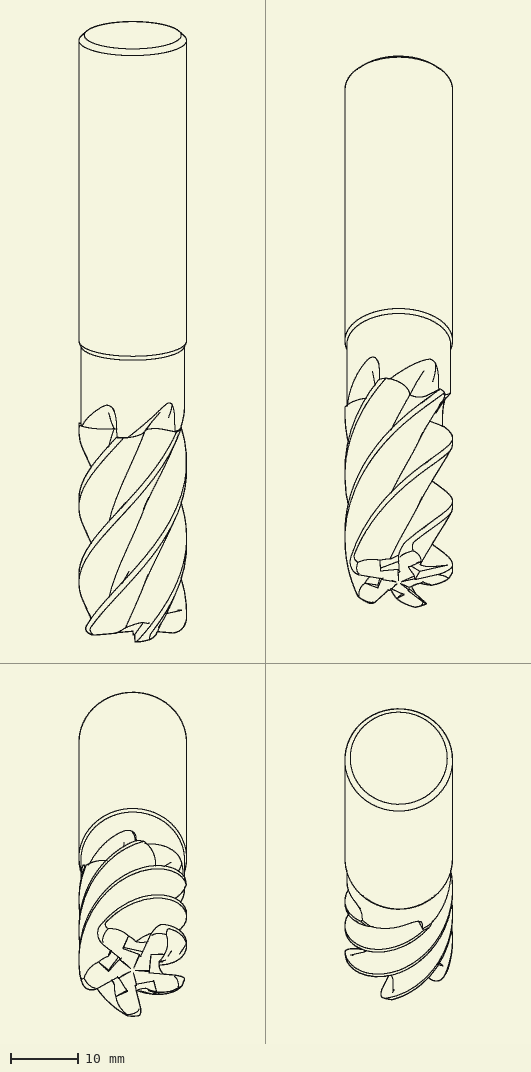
import cadquery as cq
import math


total_length = 92.0
cutter_radius = 8.0
cutter_length = 32.0
corner_radius = 2.0
shank_radius = cutter_radius
shank_bottom = 44.7
neck_radius = 7.7
neck_top = 44.0
top_chamfer = 0.8

tooth_count = 5
tooth_pitch = 360 / tooth_count
tooth_turns = [tooth * tooth_pitch for tooth in range(tooth_count)]
helix_lead = 58.5
twist_per_mm = 360 / helix_lead

rake_angle = 31.0
rake_foot_radius = 5.64
floor_angle = 22.0
floor_radius = 4.1
back_foot_angle = 5.0
back_foot_radius = 4.0
back_mid_angle = -22.0
back_mid_radius = 7.1
land_width_angle = 8.0
land_end_angle = rake_angle - tooth_pitch + land_width_angle

runout_height = 5.1
runout_rake_angle = 22.0
runout_land_angle = 12.0
rake_closing_power = 4

foot_rake_angle = rake_angle - cutter_length * twist_per_mm
end_land = 0.4
relief_width = 3.5
relief_height = 0.85
gash_height = 3.0
gash_width = 2.6
gash_wall_foot = 0.2
gash_wall_slope = 0.7
gash_inner_radius = 2.5

clear_radius = cutter_radius + 2.0
tool_overrun = 1.0
flute_steps = 6
runout_steps = 6


def at(radius, angle):
    """Point at a radius and an angle from -Y."""
    a = math.radians(angle)
    return (radius * math.sin(a), -radius * math.cos(a))


def flute_wire(height, turn, fade=0.0):
    """Flute section at a height; fade runs from 0 (full depth) to 1 (lifted out and narrowed)."""
    rake = rake_angle + fade**rake_closing_power * (runout_rake_angle - rake_angle)
    land = land_end_angle + fade * (runout_land_angle - land_end_angle)

    def faded(radius, angle):
        share = (angle - land_end_angle) / (rake_angle - land_end_angle)
        lifted_radius = radius + fade * (cutter_radius - radius)
        return at(lifted_radius, land + share * (rake - land) + turn)

    outline = (
        cq.Workplane("XY")
        .workplane(offset=height)
        .moveTo(*at(clear_radius, land + turn))
        .lineTo(*faded(cutter_radius, land_end_angle))
        .threePointArc(faded(back_mid_radius, back_mid_angle), faded(back_foot_radius, back_foot_angle))
        .threePointArc(faded(floor_radius, floor_angle), faded(rake_foot_radius, rake_angle))
        .lineTo(*at(clear_radius, rake + turn))
        .threePointArc(at(clear_radius, (rake + land) / 2 + turn), at(clear_radius, land + turn))
        .close()
    )
    return outline.wires().val()


def flute_tool(turn):
    """Helical flute along the whole cutter, overrunning both ends."""
    tool_length = cutter_length + 2 * tool_overrun
    wires = []
    for step in range(flute_steps + 1):
        height = step / flute_steps * tool_length - tool_overrun
        twist = (height - cutter_length) * twist_per_mm
        wires.append(flute_wire(height, turn + twist))
    return cq.Workplane(cq.Solid.makeLoft(wires))


def runout_tool(turn):
    """Flute that rises out of the neck above the cutter."""
    wires = []
    for step in range(runout_steps + 1):
        fade = step / runout_steps
        wires.append(flute_wire(cutter_length + fade * runout_height, turn, fade))
    return cq.Workplane(cq.Solid.makeLoft(wires))


def end_relief(turn):
    """Clearance under one tooth's end, rising from a narrow land behind its cutting edge."""
    wedge = (
        cq.Workplane("XZ")
        .moveTo(end_land, -tool_overrun)
        .lineTo(end_land, 0)
        .lineTo(relief_width, relief_height)
        .lineTo(clear_radius, relief_height)
        .lineTo(clear_radius, -tool_overrun)
        .close()
        .extrude(clear_radius)
    )
    sector = (
        cq.Workplane("XY")
        .workplane(offset=-tool_overrun)
        .lineTo(*at(clear_radius, 0))
        .threePointArc(at(clear_radius, tooth_pitch / 2), at(clear_radius, tooth_pitch))
        .close()
        .extrude(tool_overrun + relief_height)
    )
    return wedge.intersect(sector).rotate((0, 0, 0), (0, 0, 1), foot_rake_angle + turn)


def end_gash(turn):
    """V-shaped notch that cuts the foot of one tooth's rake face back to a flat."""
    return (
        cq.Workplane("XZ", origin=(0, -gash_inner_radius, 0))
        .moveTo(gash_wall_foot - tool_overrun * gash_wall_slope, -tool_overrun)
        .lineTo(gash_wall_foot + gash_height * gash_wall_slope, gash_height)
        .lineTo(-gash_width, relief_height)
        .lineTo(-gash_width, -tool_overrun)
        .close()
        .extrude(clear_radius)
        .rotate((0, 0, 0), (0, 0, 1), foot_rake_angle + turn)
    )


def make_cutter():
    """Round-cornered blank with its end ground first, then fluted."""
    cutter = (
        cq.Workplane("XY")
        .circle(cutter_radius)
        .extrude(cutter_length)
        .faces("<Z")
        .edges()
        .fillet(corner_radius)
    )
    for turn in tooth_turns:
        cutter = cutter.cut(end_relief(turn))
    for turn in tooth_turns:
        cutter = cutter.cut(end_gash(turn))
    for turn in tooth_turns:
        cutter = cutter.cut(flute_tool(turn))
    return cutter


def make_shank():
    """Chamfered shank with a slimmer neck that carries the flute run-outs."""
    shank = (
        cq.Workplane("YZ")
        .moveTo(0, cutter_length)
        .lineTo(-neck_radius, cutter_length)
        .lineTo(-neck_radius, neck_top)
        .lineTo(-shank_radius, shank_bottom)
        .lineTo(-shank_radius, total_length - top_chamfer)
        .lineTo(-shank_radius + top_chamfer, total_length)
        .lineTo(0, total_length)
        .close()
        .revolve(360, (0, 0, 0), (0, 1, 0))
    )
    for turn in tooth_turns:
        shank = shank.cut(runout_tool(turn))
    return shank


cutter = make_cutter()
shank = make_shank()
result = cq.Compound.makeCompound([cutter.val(), shank.val()])